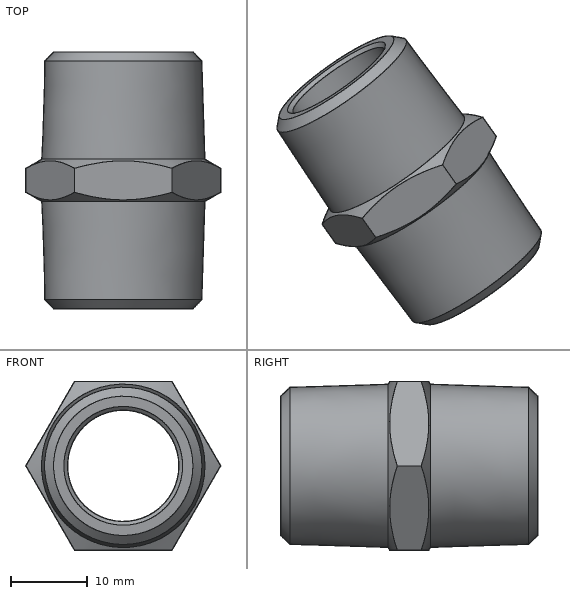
import cadquery as cq
import math

length = 33.5
across_flats = 22.0
hex_width = 5.5

taper_root_radius = 10.65
taper_tip_radius = 10.25
end_face_radius = 9.08
end_chamfer_length = 1.2

bore_radius = 7.25
bore_mouth_radius = 7.75
bore_chamfer_length = bore_mouth_radius - bore_radius

hex_face_radius = taper_root_radius
hex_chamfer_angle = 30.0

half_length = length / 2
half_hex = hex_width / 2
corner_radius = across_flats / math.sqrt(3)


def revolve_about_y(points):
    """Revolve a closed (radius, y) outline around the Y axis."""
    return cq.Workplane("XY").polyline(points).close().revolve(360, (0, 0, 0), (0, 1, 0))


def chamfered_hexagon():
    """Hexagon with corners on +X and -X, trimmed by a cone on each face."""
    prism = (
        cq.Workplane("XZ")
        .polygon(6, 2 * corner_radius)
        .extrude(half_hex, both=True)
    )
    trim_radius = corner_radius + 0.35
    drop = (trim_radius - hex_face_radius) * math.tan(math.radians(hex_chamfer_angle))
    trim = revolve_about_y([
        (0, -half_hex),
        (hex_face_radius, -half_hex),
        (trim_radius, drop - half_hex),
        (trim_radius, half_hex - drop),
        (hex_face_radius, half_hex),
        (0, half_hex),
    ])
    return prism.intersect(trim)


def tapered_end(side):
    """Tapered end on the +Y (side = 1) or -Y (side = -1) half."""
    return revolve_about_y([
        (0, 0),
        (taper_root_radius, 0),
        (taper_root_radius, side * half_hex),
        (taper_tip_radius, side * (half_length - end_chamfer_length)),
        (end_face_radius, side * half_length),
        (0, side * half_length),
    ])


def bore():
    """Through bore with a chamfered mouth at each end."""
    chamfer_start = half_length - bore_chamfer_length
    return revolve_about_y([
        (0, -half_length),
        (bore_mouth_radius, -half_length),
        (bore_radius, -chamfer_start),
        (bore_radius, chamfer_start),
        (bore_mouth_radius, half_length),
        (0, half_length),
    ])


body = chamfered_hexagon()
for side in (-1, 1):
    body = body.union(tapered_end(side))

result = body.cut(bore())